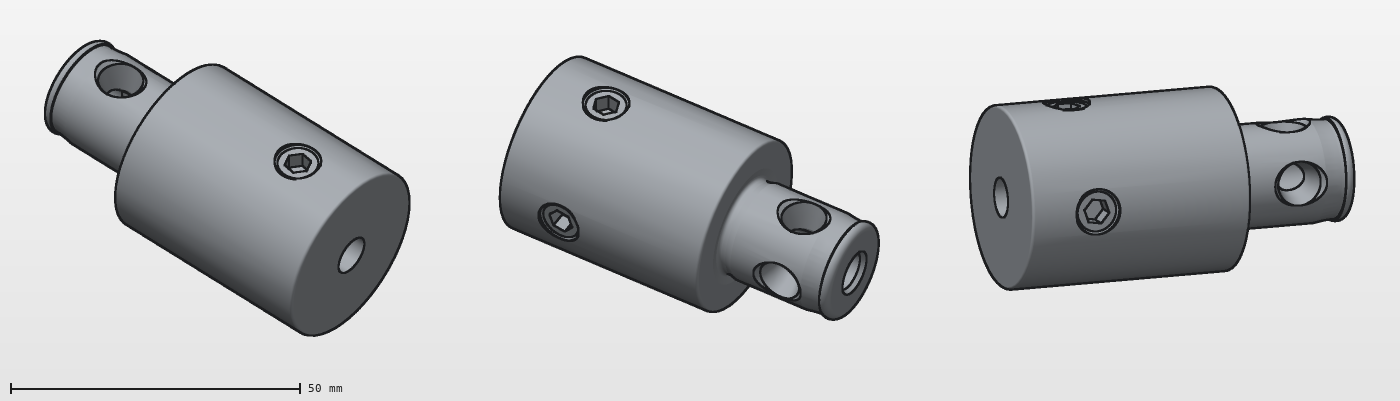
import cadquery as cq
import math

LENGTH = 62.0
BODY_RADIUS = 16.0
BODY_ROUND = 0.5
SHOULDER_X = 21.95
SPIGOT_RADIUS = 9.05
RELIEF_RADIUS = 8.7
BEAD_ROUND = 1.25
BEAD_END_X = 1.8
FRONT_NECK_END_X = 2.5
FRONT_TAPER_END_X = 5.5
FRONT_TAPER_MID = (3.95, 8.8)
REAR_TAPER_START_X = 19.45
REAR_NECK_START_X = 20.8
UNDERCUT_START_X = 21.5
UNDERCUT_DEPTH = 0.25
UNDERCUT_ROUND = UNDERCUT_DEPTH + SHOULDER_X - UNDERCUT_START_X
UNDERCUT_OUTER_RADIUS = 10.8

BORE_RADIUS = 3.5
BORE_MOUTH_RADIUS = 4.0
BORE_MOUTH_DEPTH = 1.0

CROSS_X = 10.15
CROSS_RADIUS = 3.9
CROSS_TIP_RADIUS = 2.5
CROSS_TOP = 8.2
CROSS_BOTTOM = 3.1

SCREW_X = 50.0
SCREW_RADIUS = 3.55
SCREW_TOP = 15.2
SCREW_LENGTH = 8.05
SCREW_MOUTH_RADIUS = 4.0
SCREW_MOUTH_FOOT = 15.45
HEX_CORNER_RADIUS = 2.325
HEX_DEPTH = 3.1
HEX_TURN = -10.0

RADIAL_ANGLES = (0, -90)
CLEARANCE = 0.6


def place_radially(shape, angle):
    return shape.rotate((0, 0, 0), (1, 0, 0), angle)


def make_blank():
    """Turned outline of the housing, without any holes."""
    diagonal = math.sqrt(0.5)
    round_inset = BODY_ROUND * (1 - diagonal)
    bead_center_radius = SPIGOT_RADIUS - BEAD_ROUND
    bead_end_radius = bead_center_radius + math.sqrt(BEAD_ROUND**2 - (BEAD_END_X - BEAD_ROUND) ** 2)
    undercut_mid = (
        UNDERCUT_START_X + UNDERCUT_ROUND * diagonal,
        RELIEF_RADIUS + UNDERCUT_ROUND * (1 - diagonal),
    )
    outline = (
        cq.Workplane("XY")
        .lineTo(0, bead_center_radius)
        .threePointArc(
            (BEAD_ROUND * (1 - diagonal), bead_center_radius + BEAD_ROUND * diagonal),
            (BEAD_END_X, bead_end_radius),
        )
        .lineTo(BEAD_END_X, RELIEF_RADIUS)
        .lineTo(FRONT_NECK_END_X, RELIEF_RADIUS)
        .threePointArc(FRONT_TAPER_MID, (FRONT_TAPER_END_X, SPIGOT_RADIUS))
        .lineTo(REAR_TAPER_START_X, SPIGOT_RADIUS)
        .lineTo(REAR_NECK_START_X, RELIEF_RADIUS)
        .lineTo(UNDERCUT_START_X, RELIEF_RADIUS)
        .threePointArc(undercut_mid, (SHOULDER_X + UNDERCUT_DEPTH, RELIEF_RADIUS + UNDERCUT_ROUND))
        .lineTo(SHOULDER_X, UNDERCUT_OUTER_RADIUS)
        .lineTo(SHOULDER_X, BODY_RADIUS - BODY_ROUND)
        .threePointArc(
            (SHOULDER_X + round_inset, BODY_RADIUS - round_inset),
            (SHOULDER_X + BODY_ROUND, BODY_RADIUS),
        )
        .lineTo(LENGTH - BODY_ROUND, BODY_RADIUS)
        .threePointArc((LENGTH - round_inset, BODY_RADIUS - round_inset), (LENGTH, BODY_RADIUS - BODY_ROUND))
        .lineTo(LENGTH, 0)
        .close()
    )
    return outline.revolve(360, (0, 0, 0), (1, 0, 0))


def make_bore():
    """Axial through bore with a chamfered mouth at the spigot end."""
    return (
        cq.Workplane("XY")
        .lineTo(0, BORE_MOUTH_RADIUS)
        .lineTo(BORE_MOUTH_DEPTH, BORE_RADIUS)
        .lineTo(LENGTH, BORE_RADIUS)
        .lineTo(LENGTH, 0)
        .close()
        .revolve(360, (0, 0, 0), (1, 0, 0))
    )


def make_cross_hole():
    """Tapered hole from the spigot surface into the bore, pointing to +Z."""
    top = SPIGOT_RADIUS + CLEARANCE
    return (
        cq.Workplane("XZ")
        .lineTo(CROSS_TIP_RADIUS, 0)
        .lineTo(CROSS_TIP_RADIUS, CROSS_BOTTOM)
        .lineTo(CROSS_RADIUS, CROSS_TOP)
        .lineTo(CROSS_RADIUS + top - CROSS_TOP, top)
        .lineTo(0, top)
        .close()
        .revolve(360, (0, 0, 0), (0, 1, 0))
        .translate((CROSS_X, 0, 0))
    )


def make_screw_hole():
    """Blind hole that fits a set screw, with a wider mouth, pointing to +Z."""
    top = BODY_RADIUS + CLEARANCE
    return (
        cq.Workplane("XZ", origin=(SCREW_X, 0, 0))
        .moveTo(0, SCREW_TOP - SCREW_LENGTH)
        .lineTo(SCREW_RADIUS, SCREW_TOP - SCREW_LENGTH)
        .lineTo(SCREW_RADIUS, SCREW_TOP)
        .lineTo(SCREW_MOUTH_RADIUS, SCREW_MOUTH_FOOT)
        .lineTo(SCREW_MOUTH_RADIUS, top)
        .lineTo(0, top)
        .close()
        .revolve(360, (0, 0, 0), (0, 1, 0))
    )


def make_housing():
    housing = make_blank().cut(make_bore())
    for angle in RADIAL_ANGLES:
        housing = housing.cut(place_radially(make_cross_hole(), angle))
        housing = housing.cut(place_radially(make_screw_hole(), angle))
    return housing


def make_set_screw(angle):
    """Headless screw with a hexagon socket in its outer face."""
    screw = (
        cq.Workplane("XY", origin=(SCREW_X, 0, SCREW_TOP - SCREW_LENGTH))
        .circle(SCREW_RADIUS)
        .extrude(SCREW_LENGTH)
    )
    socket = (
        cq.Workplane("XY", origin=(SCREW_X, 0, SCREW_TOP - HEX_DEPTH))
        .transformed(rotate=(0, 0, HEX_TURN))
        .polygon(6, 2 * HEX_CORNER_RADIUS)
        .extrude(HEX_DEPTH)
    )
    return place_radially(screw.cut(socket), angle)


housing = make_housing()
set_screws = [make_set_screw(angle) for angle in RADIAL_ANGLES]

result = cq.Compound.makeCompound([housing.val(), *[screw.val() for screw in set_screws]])